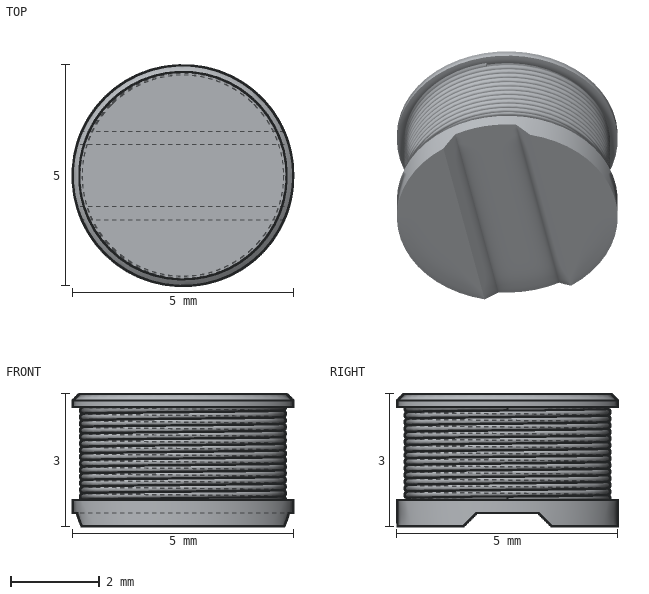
import cadquery as cq


flange_diameter = 5.0
base_height = 0.6
top_height = 0.3
total_height = 3.0
top_chamfer = 0.15

slot_depth = base_height / 2
slot_bottom_width = 2.0
slot_roof_width = slot_bottom_width - 2 * slot_depth

winding_turns = 14
winding_height = total_height - base_height - top_height
wire_pitch = winding_height / winding_turns
wire_clearance = 0.001
wire_radius = wire_pitch / 2 - wire_clearance
winding_diameter = 4.66
wire_path_radius = winding_diameter / 2 - wire_radius
core_diameter = 4.56


def make_base():
    flange = cq.Workplane("XY").circle(flange_diameter / 2).extrude(base_height)
    slot = (
        cq.Workplane("YZ")
        .moveTo(-slot_bottom_width / 2, 0)
        .lineTo(-slot_roof_width / 2, slot_depth)
        .lineTo(slot_roof_width / 2, slot_depth)
        .lineTo(slot_bottom_width / 2, 0)
        .close()
        .extrude(flange_diameter / 2, both=True)
    )
    return flange.cut(slot)


def make_top():
    return (
        cq.Workplane("XY")
        .workplane(offset=total_height - top_height)
        .circle(flange_diameter / 2)
        .extrude(top_height)
        .faces(">Z")
        .edges()
        .chamfer(top_chamfer)
    )


def make_core():
    return (
        cq.Workplane("XY")
        .workplane(offset=base_height)
        .circle(core_diameter / 2)
        .extrude(winding_height)
    )


def make_wire():
    helix = cq.Wire.makeHelix(wire_pitch, winding_height, wire_path_radius)
    winding = (
        cq.Workplane("XZ")
        .center(wire_path_radius, 0)
        .circle(wire_radius)
        .sweep(cq.Workplane(obj=helix), isFrenet=True)
    )
    return winding.translate((0, 0, base_height))


result = make_core().union(make_wire()).union(make_base()).union(make_top())